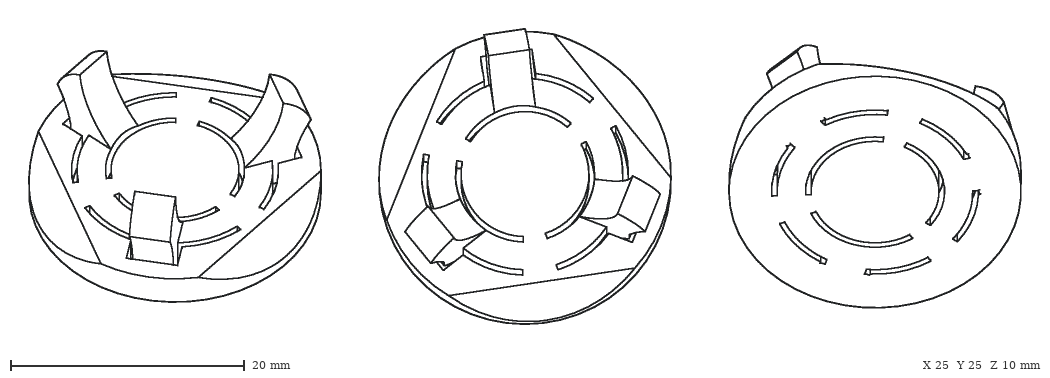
import cadquery as cq
import math

disc_radius = 12.5
disc_height = 3.0
total_height = 10.0

flat_distance = 9.55
flat_edge_height = 1.0

slot_width = 0.48
inner_slot_radius = 5.95
outer_slot_radius = 8.85
slot_half_angle = 50.0

arm_width = 3.55
arm_angles = (90, 210, 330)
tip_radius = 9.2
barb_radius = 11.72
barb_height = 6.98
arm_back_radius = 10.25
arm_toe_radius = math.sqrt(inner_slot_radius**2 - (arm_width / 2) ** 2)
inner_face_bulge = 0.75
nose_bulge = 0.4
back_bulge = 0.2

pocket_width = 4.45
pocket_top_radius = 10.72
pocket_bottom_radius = 8.68
pocket_wall_bulge = 0.3


def bulged_midpoint(start, end, bulge):
    """Arc midpoint, offset to the right of the direction from start to end."""
    dx = end[0] - start[0]
    dz = end[1] - start[1]
    length = math.hypot(dx, dz)
    return (
        (start[0] + end[0]) / 2 + bulge * dz / length,
        (start[1] + end[1]) / 2 - bulge * dx / length,
    )


def extrude_radial(profile, width):
    """Extrude a closed radius-height profile symmetrically about the XZ plane."""
    return profile.close().extrude(width / 2, both=True)


def place(body, angle):
    return body.rotate((0, 0, 0), (0, 0, 1), angle)


def arc_slot(outer_radius):
    """Ring segment centred on +X, with radial ends."""
    half_angle = math.radians(slot_half_angle)
    inner_radius = outer_radius - slot_width

    def polar(radius, angle):
        return (radius * math.cos(angle), radius * math.sin(angle))

    return (
        cq.Workplane("XY")
        .moveTo(*polar(inner_radius, -half_angle))
        .lineTo(*polar(outer_radius, -half_angle))
        .threePointArc((outer_radius, 0), polar(outer_radius, half_angle))
        .lineTo(*polar(inner_radius, half_angle))
        .threePointArc((inner_radius, 0), polar(inner_radius, -half_angle))
        .close()
        .extrude(disc_height)
    )


def flat_cutter():
    """Wedge removed from the rim on the +X side."""
    profile = cq.Workplane("XZ").polyline([
        (flat_distance, disc_height),
        (disc_radius, flat_edge_height),
        (disc_radius, disc_height),
    ])
    return extrude_radial(profile, 2 * disc_radius)


def relief_pocket():
    """Curved-wall pocket that runs down into the outer slot."""
    top = (pocket_top_radius, disc_height)
    bottom = (pocket_bottom_radius, 0)
    profile = (
        cq.Workplane("XZ")
        .moveTo(*top)
        .threePointArc(bulged_midpoint(top, bottom, -pocket_wall_bulge), bottom)
        .lineTo(0, 0)
        .lineTo(0, disc_height)
    )
    core = cq.Workplane("XY").circle(outer_slot_radius - slot_width).extrude(disc_height)
    return extrude_radial(profile, pocket_width).cut(core)


def snap_arm():
    """Curved arm with an outward barb, rooted in the disc and ending at the inner slot."""
    toe = (arm_toe_radius, disc_height)
    tip = (tip_radius, total_height)
    barb = (barb_radius, barb_height)
    back = (arm_back_radius, disc_height)
    profile = (
        cq.Workplane("XZ")
        .moveTo(*toe)
        .threePointArc(bulged_midpoint(toe, tip, inner_face_bulge), tip)
        .threePointArc(bulged_midpoint(tip, barb, -nose_bulge), barb)
        .threePointArc(bulged_midpoint(barb, back, back_bulge), back)
        .lineTo(arm_back_radius, 0)
        .lineTo(arm_toe_radius, 0)
    )
    core = cq.Workplane("XY").circle(inner_slot_radius).extrude(total_height)
    return extrude_radial(profile, arm_width).cut(core)


result = cq.Workplane("XY").circle(disc_radius).extrude(disc_height)
for arm_angle in arm_angles:
    result = result.cut(place(flat_cutter(), arm_angle + 180))
    result = result.cut(place(arc_slot(inner_slot_radius), arm_angle))
    result = result.cut(place(arc_slot(outer_slot_radius), arm_angle))
    result = result.cut(place(relief_pocket(), arm_angle))
for arm_angle in arm_angles:
    result = result.union(place(snap_arm(), arm_angle))